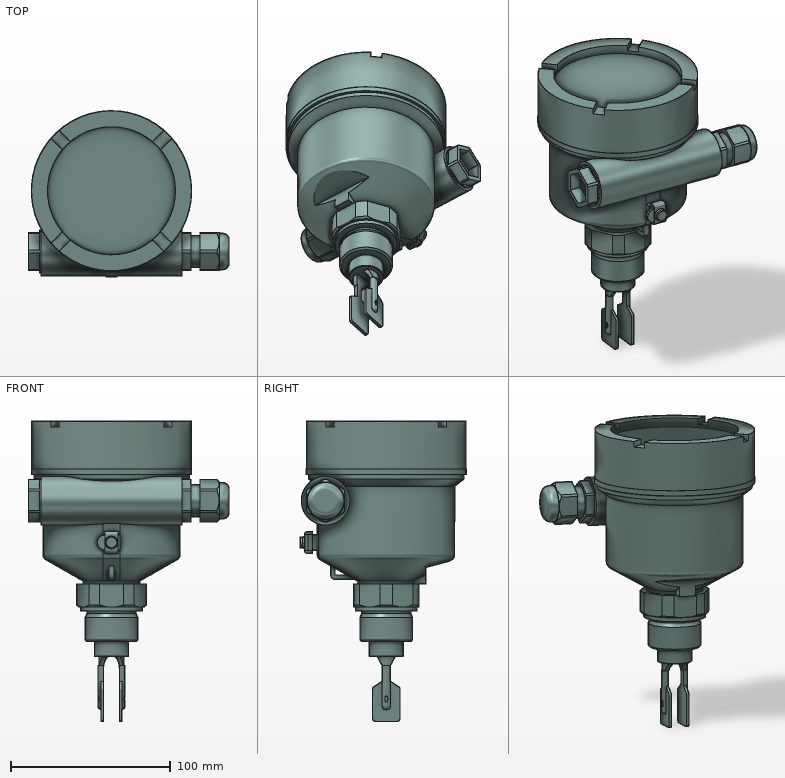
import cadquery as cq
import math

TOTAL_HEIGHT = 188.4
LID_RADIUS = 50.1
LID_BAND_RADIUS = 50.3
LID_BAND_TOP_Z = 158.3
LID_BOTTOM_Z = 154.9
RECESS_RADIUS = 40.1
RECESS_DEPTH = 5.7
SLOT_WIDTH = 7.2
SLOT_DEPTH = 3.5
SLOT_COUNT = 4
FIRST_SLOT_ANGLE = 45

COLLAR_RADIUS = 48.8
COLLAR_BOTTOM_Z = 152.0
BODY_RADIUS = 43.0
BODY_TOP_Z = 147.5
SHOULDER_Z = 102.5
SHOULDER_FILLET = 3.4
NECK_RADIUS = 17.9
NECK_TOP_Z = 88.2

PAD_HALF_WIDTH = 5.3
PAD_THICKNESS = 0.4
HOOK_WIDTH = 3.4
HOOK_THICKNESS = 2.8
HOOK_FRONT = 34.9
HOOK_BOTTOM_Z = 89.1
HOOK_TOP_Z = 99.9
HOOK_FILLET = 2.8
REAR_WALL_Y = 24.9
REAR_WALL_TOP_Z = 96.6
REAR_SLOPE = 0.26

NUT_TOP_Z = 86.3
NUT_BOTTOM_Z = 72.0
NUT_FLATS = 41.0
NUT_CORNER_RADIUS = 21.9
NUT_CHAMFER = 1.1
WASHER_RADIUS = 19.4
WASHER_BOTTOM_Z = 69.3
RELIEF_RADIUS = 15.5
RELIEF_BOTTOM_Z = 67.6
THREAD_RADIUS = 16.5
THREAD_SHOULDER_Z = 65.2
THREAD_BOTTOM_Z = 50.1
THREAD_CHAMFER = 1.1
STEM_RADIUS = 10.7
STEM_BOTTOM_Z = 40.7
STEM_CHAMFER = 0.4

ROOT_RADIUS = 8.0
ROOT_TOP_HALF_DEPTH = 5.7
ROOT_BOTTOM_Z = 35.2
ROD_RADIUS = 2.6
ROD_OUTER_X = 8.5
ROD_BOTTOM_Z = 7.3
ROD_TIP_FILLET = 2.3
GAP_HALF_WIDTH = 4.9
GAP_ARCH_Z = 33.5
GAP_ARCH_HEIGHT = 8.0
BLADE_THICKNESS = 1.7
BLADE_HALF_WIDTH = 8.7
BLADE_SHOULDER_Z = 21.3
BLADE_TOP_Z = 25.2
BLADE_FILLET = 1.9
DIMPLE_Z = 14.1
DIMPLE_WIDTH = 1.9
DIMPLE_HEIGHT = 3.8
DIMPLE_DEPTH = 0.5

TUBE_Y = -38.0
TUBE_Z = 138.5
TUBE_RADIUS = 15.3
TUBE_HALF_LENGTH = 44.0
HEX_FLATS = 24.0
HEX_CORNER_RADIUS = 13.4
PLUG_END_X = -52.2
PLUG_FLANGE = 1.0
SOCKET_FLATS = 18.3
SOCKET_DEPTH = 7.3
GLAND_NUT_END_X = 49.7
GLAND_NECK_RADIUS = 10.2
GLAND_NECK_END_X = 55.4
GLAND_CAP_END_X = 67.6
GLAND_CAP_CHAMFER = 1.5
GLAND_DOME_RADIUS = 11.5
GLAND_END_X = 73.9
GLAND_DOME_FILLET = 4.3

TERMINAL_Z = 112.3
TERMINAL_HALF_HEIGHT = 4.9
TERMINAL_BLOCK_FRONT = 46.3
SPACER_HALF_WIDTH = 4.7
SPACER_FRONT = 49.2
LUG_FRONT = 50.9
LUG_ROUND_X = -4.0
LUG_RIGHT_X = 5.5
CLAMP_FRONT = 51.5
CLAMP_HALF_WIDTH = 4.1
CLAMP_HALF_HEIGHT = 6.8
CLAMP_FILLET = 1.9
SCREW_RADIUS = 3.4
SCREW_FLARE_RADIUS = 4.0
SCREW_FLARE_FRONT = 52.5
SCREW_FRONT = 54.0


def box(x_range, y_range, z_range):
    """Axis-aligned box given by its limits on each axis."""
    corner = (x_range[0], y_range[0], z_range[0])
    size = (x_range[1] - x_range[0], y_range[1] - y_range[0], z_range[1] - z_range[0])
    return cq.Workplane("XY").box(*size, centered=False).translate(corner)


def vertical_disc(radius, bottom_z, top_z):
    return cq.Workplane("XY").workplane(offset=bottom_z).circle(radius).extrude(top_z - bottom_z)


def tube_plane(x):
    """Plane across the cable tube axis, facing +X, with its local x along +Y."""
    return cq.Workplane(cq.Plane(origin=(x, TUBE_Y, TUBE_Z), xDir=(0, 1, 0), normal=(1, 0, 0)))


def tube_disc(radius, start_x, end_x):
    return tube_plane(start_x).circle(radius).extrude(end_x - start_x)


def hex_across_flats(workplane, flats):
    """Hexagon with two corners on the local y axis."""
    corner = flats / math.sqrt(3)
    angles = [math.radians(30 + 60 * i) for i in range(6)]
    return workplane.polyline([(corner * math.cos(a), corner * math.sin(a)) for a in angles]).close()


def tube_hex(start_x, end_x, end_chamfer=0):
    """Hexagon on the tube axis with its corners turned round."""
    prism = hex_across_flats(tube_plane(start_x), HEX_FLATS).extrude(end_x - start_x)
    envelope = tube_disc(HEX_CORNER_RADIUS, start_x, end_x)
    if end_chamfer:
        envelope = envelope.faces(">X").chamfer(end_chamfer)
    return prism.intersect(envelope)


def housing_shell(extra):
    """Turned housing between neck and tube level, grown outward by extra."""
    return (
        cq.Workplane("XZ")
        .moveTo(0, NECK_TOP_Z)
        .lineTo(NECK_RADIUS + extra, NECK_TOP_Z)
        .lineTo(BODY_RADIUS + extra, SHOULDER_Z)
        .lineTo(BODY_RADIUS + extra, BODY_TOP_Z)
        .lineTo(0, BODY_TOP_Z)
        .close()
        .revolve(360, (0, 0, 0), (0, 1, 0))
        .edges(cq.selectors.NearestToPointSelector((0, 0, SHOULDER_Z)))
        .fillet(SHOULDER_FILLET)
    )


def make_lid():
    lid = vertical_disc(LID_RADIUS, LID_BAND_TOP_Z, TOTAL_HEIGHT)
    lid = lid.union(vertical_disc(LID_BAND_RADIUS, LID_BOTTOM_Z, LID_BAND_TOP_Z))
    lid = lid.cut(vertical_disc(RECESS_RADIUS, TOTAL_HEIGHT - RECESS_DEPTH, TOTAL_HEIGHT))
    slot = box(
        (0, LID_BAND_RADIUS), (-SLOT_WIDTH / 2, SLOT_WIDTH / 2), (TOTAL_HEIGHT - SLOT_DEPTH, TOTAL_HEIGHT)
    )
    for i in range(SLOT_COUNT):
        lid = lid.cut(slot.rotate((0, 0, 0), (0, 0, 1), FIRST_SLOT_ANGLE + i * 360 / SLOT_COUNT))
    return lid


def make_housing():
    collar = (
        cq.Workplane("XZ")
        .moveTo(0, BODY_TOP_Z)
        .lineTo(BODY_RADIUS, BODY_TOP_Z)
        .lineTo(COLLAR_RADIUS, COLLAR_BOTTOM_Z)
        .lineTo(COLLAR_RADIUS, LID_BOTTOM_Z)
        .lineTo(0, LID_BOTTOM_Z)
        .close()
        .revolve(360, (0, 0, 0), (0, 1, 0))
    )
    neck = vertical_disc(NECK_RADIUS, NUT_TOP_Z, NECK_TOP_Z)
    pad = housing_shell(PAD_THICKNESS).intersect(
        box((-PAD_HALF_WIDTH, PAD_HALF_WIDTH), (-2 * BODY_RADIUS, 0), (NECK_TOP_Z, TUBE_Z))
    )
    return housing_shell(0).cut(rear_relief()).union(collar).union(neck).union(pad).union(rear_rib())


def rear_relief():
    """Clearance across the rear of the cone: a vertical wall under a gently rising roof."""
    reach = 2 * BODY_RADIUS
    roof_end_z = REAR_WALL_TOP_Z + REAR_SLOPE * (reach - REAR_WALL_Y)
    return (
        cq.Workplane("YZ")
        .moveTo(REAR_WALL_Y, NUT_TOP_Z)
        .lineTo(REAR_WALL_Y, REAR_WALL_TOP_Z)
        .lineTo(reach, roof_end_z)
        .lineTo(reach, NUT_TOP_Z)
        .close()
        .extrude(BODY_RADIUS, both=True)
    )


def rear_rib():
    """Rib under the cone that ends flush with the rear wall."""
    return box((-PAD_HALF_WIDTH, PAD_HALF_WIDTH), (0, REAR_WALL_Y), (NUT_TOP_Z, REAR_WALL_TOP_Z))


def make_hook():
    """Bent strip that leaves the cone downward and returns to it below."""
    half = HOOK_WIDTH / 2
    outer = box((-half, half), (-HOOK_FRONT, 0), (HOOK_BOTTOM_Z, HOOK_TOP_Z))
    outer = outer.edges("<Y and <Z").fillet(HOOK_FILLET)
    inner = box(
        (-half, half), (HOOK_THICKNESS - HOOK_FRONT, 0), (HOOK_BOTTOM_Z + HOOK_THICKNESS, HOOK_TOP_Z)
    )
    return outer.cut(inner)


def make_connection():
    nut_height = NUT_TOP_Z - NUT_BOTTOM_Z
    nut = hex_across_flats(cq.Workplane("XY").workplane(offset=NUT_BOTTOM_Z), NUT_FLATS)
    nut = nut.extrude(nut_height).rotate((0, 0, 0), (0, 0, 1), 30)
    envelope = vertical_disc(NUT_CORNER_RADIUS, NUT_BOTTOM_Z, NUT_TOP_Z).faces("<Z").chamfer(NUT_CHAMFER)
    turned = (
        cq.Workplane("XZ")
        .moveTo(0, NUT_BOTTOM_Z)
        .lineTo(WASHER_RADIUS, NUT_BOTTOM_Z)
        .lineTo(WASHER_RADIUS, WASHER_BOTTOM_Z)
        .lineTo(RELIEF_RADIUS, WASHER_BOTTOM_Z)
        .lineTo(RELIEF_RADIUS, RELIEF_BOTTOM_Z)
        .lineTo(THREAD_RADIUS, THREAD_SHOULDER_Z)
        .lineTo(THREAD_RADIUS, THREAD_BOTTOM_Z + THREAD_CHAMFER)
        .lineTo(THREAD_RADIUS - THREAD_CHAMFER, THREAD_BOTTOM_Z)
        .lineTo(STEM_RADIUS, THREAD_BOTTOM_Z)
        .lineTo(STEM_RADIUS, STEM_BOTTOM_Z + STEM_CHAMFER)
        .lineTo(STEM_RADIUS - STEM_CHAMFER, STEM_BOTTOM_Z)
        .lineTo(0, STEM_BOTTOM_Z)
        .close()
        .revolve(360, (0, 0, 0), (0, 1, 0))
    )
    return nut.intersect(envelope).union(turned)


def make_fork():
    root = (
        cq.Workplane("YZ")
        .moveTo(-ROD_RADIUS, ROOT_BOTTOM_Z)
        .lineTo(ROD_RADIUS, ROOT_BOTTOM_Z)
        .lineTo(ROOT_TOP_HALF_DEPTH, STEM_BOTTOM_Z)
        .lineTo(-ROOT_TOP_HALF_DEPTH, STEM_BOTTOM_Z)
        .close()
        .extrude(ROOT_RADIUS, both=True)
        .intersect(vertical_disc(ROOT_RADIUS, ROOT_BOTTOM_Z, STEM_BOTTOM_Z))
    )
    gap = (
        cq.Workplane("XZ")
        .moveTo(-GAP_HALF_WIDTH, 0)
        .lineTo(GAP_HALF_WIDTH, 0)
        .lineTo(GAP_HALF_WIDTH, GAP_ARCH_Z)
        .ellipseArc(GAP_HALF_WIDTH, GAP_ARCH_HEIGHT, 0, 180, startAtCurrent=True)
        .close()
        .extrude(BLADE_HALF_WIDTH, both=True)
        .intersect(box(
            (-GAP_HALF_WIDTH, GAP_HALF_WIDTH), (-BLADE_HALF_WIDTH, BLADE_HALF_WIDTH), (0, STEM_BOTTOM_Z)
        ))
    )
    tine = make_tine()
    return root.union(tine).union(tine.mirror("YZ")).cut(gap)


def make_tine():
    """Rod and blade of the tine on the +X side."""
    rod = vertical_disc(ROD_RADIUS, ROD_BOTTOM_Z, ROOT_BOTTOM_Z).faces("<Z").edges().fillet(ROD_TIP_FILLET)
    rod = rod.translate((ROD_OUTER_X - ROD_RADIUS, 0, 0))
    dimple = (
        cq.Workplane("YZ", origin=(ROD_OUTER_X - DIMPLE_DEPTH, 0, DIMPLE_Z))
        .ellipse(DIMPLE_WIDTH / 2, DIMPLE_HEIGHT / 2)
        .extrude(DIMPLE_DEPTH)
    )
    blade = (
        cq.Workplane("YZ", origin=(GAP_HALF_WIDTH, 0, 0))
        .moveTo(-BLADE_HALF_WIDTH, 0)
        .lineTo(BLADE_HALF_WIDTH, 0)
        .lineTo(BLADE_HALF_WIDTH, BLADE_SHOULDER_Z)
        .lineTo(ROD_RADIUS, BLADE_TOP_Z)
        .lineTo(-ROD_RADIUS, BLADE_TOP_Z)
        .lineTo(-BLADE_HALF_WIDTH, BLADE_SHOULDER_Z)
        .close()
        .extrude(BLADE_THICKNESS)
        .edges("|X and (>Y or <Y)")
        .fillet(BLADE_FILLET)
    )
    return rod.cut(dimple).union(blade)


def make_plug():
    flange = tube_disc(HEX_CORNER_RADIUS, -TUBE_HALF_LENGTH - PLUG_FLANGE, -TUBE_HALF_LENGTH)
    head = tube_hex(PLUG_END_X, -TUBE_HALF_LENGTH - PLUG_FLANGE)
    socket = hex_across_flats(tube_plane(PLUG_END_X), SOCKET_FLATS).extrude(SOCKET_DEPTH)
    return flange.union(head).cut(socket)


def make_gland():
    nut = tube_hex(TUBE_HALF_LENGTH, GLAND_NUT_END_X)
    neck = tube_disc(GLAND_NECK_RADIUS, GLAND_NUT_END_X, GLAND_NECK_END_X)
    cap = tube_hex(GLAND_NECK_END_X, GLAND_CAP_END_X, GLAND_CAP_CHAMFER)
    dome = tube_disc(GLAND_DOME_RADIUS, GLAND_CAP_END_X, GLAND_END_X)
    dome = dome.faces(">X").edges().fillet(GLAND_DOME_FILLET)
    return nut.union(neck).union(cap).union(dome)


def make_terminal():
    z_range = (TERMINAL_Z - TERMINAL_HALF_HEIGHT, TERMINAL_Z + TERMINAL_HALF_HEIGHT)
    block = box((-PAD_HALF_WIDTH, PAD_HALF_WIDTH), (-TERMINAL_BLOCK_FRONT, TUBE_Y), z_range)
    spacer = box(
        (-SPACER_HALF_WIDTH, SPACER_HALF_WIDTH), (-SPACER_FRONT, -TERMINAL_BLOCK_FRONT), z_range
    )
    lug_y = (-LUG_FRONT, -SPACER_FRONT)
    lug_round = (
        cq.Workplane("XZ", origin=(LUG_ROUND_X, lug_y[1], TERMINAL_Z))
        .circle(TERMINAL_HALF_HEIGHT)
        .extrude(lug_y[1] - lug_y[0])
    )
    lug = box((LUG_ROUND_X, LUG_RIGHT_X), lug_y, z_range).union(lug_round)
    clamp = box(
        (-CLAMP_HALF_WIDTH, CLAMP_HALF_WIDTH),
        (-CLAMP_FRONT, -TERMINAL_BLOCK_FRONT),
        (TERMINAL_Z - CLAMP_HALF_HEIGHT, TERMINAL_Z + CLAMP_HALF_HEIGHT),
    )
    clamp = clamp.faces("<Y").edges("|X").fillet(CLAMP_FILLET)
    screw = (
        cq.Workplane("XY")
        .moveTo(0, -CLAMP_FRONT)
        .lineTo(SCREW_FLARE_RADIUS, -CLAMP_FRONT)
        .lineTo(SCREW_RADIUS, -SCREW_FLARE_FRONT)
        .lineTo(SCREW_RADIUS, -SCREW_FRONT)
        .lineTo(0, -SCREW_FRONT)
        .close()
        .revolve(360, (0, 0, 0), (0, 1, 0))
        .translate((0, 0, TERMINAL_Z))
    )
    return block.union(spacer).union(lug).union(clamp).union(screw)


result = (
    make_housing()
    .union(make_lid())
    .union(tube_disc(TUBE_RADIUS, -TUBE_HALF_LENGTH, TUBE_HALF_LENGTH))
    .union(make_plug())
    .union(make_gland())
    .union(make_hook())
    .union(make_terminal())
    .union(make_connection())
    .union(make_fork())
)